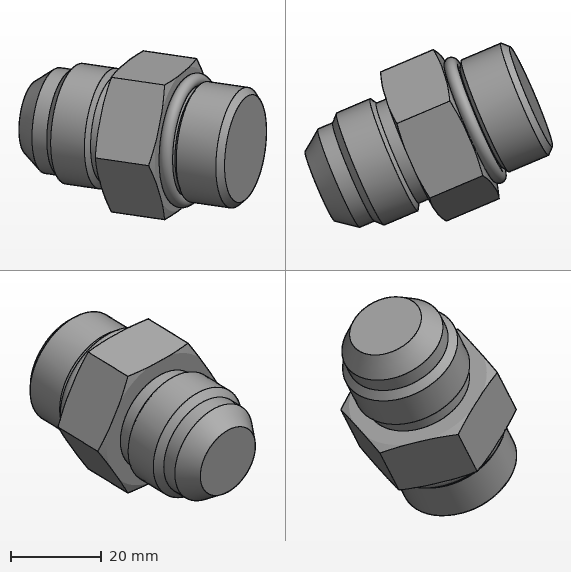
import cadquery as cq
import math


thread_diameter = 27.0
relief_diameter = 24.1
nose_diameter = 23.65
nose_tip_diameter = 16.8

nose_cone_end = 4.55
nose_end = 8.15
tube_thread_start = 9.75
tube_thread_end = 17.85
tube_relief_start = 18.7
hexagon_start = 21.85
hexagon_length = 14.0
groove_end = 38.9
port_thread_start = 39.85
port_chamfer_start = 49.35
overall_length = 50.8

across_flats = 31.75
hexagon_chamfer_diameter = 32.25
hexagon_chamfer_angle = 16.0

ring_section_diameter = 3.0

across_corners = across_flats / math.cos(math.radians(30))
hexagon_end = hexagon_start + hexagon_length
ring_center_x = hexagon_end + ring_section_diameter / 2
ring_center_radius = (relief_diameter + ring_section_diameter) / 2


def revolve_about_x(outline):
    return outline.close().revolve(360, (0, 0, 0), (1, 0, 0))


def make_turned_core():
    """Cone nose, tube thread, thread relief, O-ring groove and port thread."""
    outline = (
        cq.Workplane("XY")
        .moveTo(0, 0)
        .lineTo(0, nose_tip_diameter / 2)
        .lineTo(nose_cone_end, nose_diameter / 2)
        .lineTo(nose_end, nose_diameter / 2)
        .lineTo(tube_thread_start, thread_diameter / 2)
        .lineTo(tube_thread_end, thread_diameter / 2)
        .lineTo(tube_relief_start, relief_diameter / 2)
        .lineTo(groove_end, relief_diameter / 2)
        .lineTo(port_thread_start, thread_diameter / 2)
        .lineTo(port_chamfer_start, thread_diameter / 2)
        .lineTo(overall_length, relief_diameter / 2)
        .lineTo(overall_length, 0)
    )
    return revolve_about_x(outline)


def make_hexagon():
    """Hexagonal prism with its corners turned off conically at both ends."""
    prism = (
        cq.Workplane("YZ", origin=(hexagon_start, 0, 0))
        .polygon(6, across_corners)
        .extrude(hexagon_length)
    )
    face_radius = hexagon_chamfer_diameter / 2
    corner_radius = across_corners / 2
    chamfer_length = (corner_radius - face_radius) * math.tan(math.radians(hexagon_chamfer_angle))
    chamfer_envelope = revolve_about_x(
        cq.Workplane("XY")
        .moveTo(hexagon_start, 0)
        .lineTo(hexagon_start, face_radius)
        .lineTo(hexagon_start + chamfer_length, corner_radius)
        .lineTo(hexagon_end - chamfer_length, corner_radius)
        .lineTo(hexagon_end, face_radius)
        .lineTo(hexagon_end, 0)
    )
    return prism.intersect(chamfer_envelope)


def make_fitting():
    return make_turned_core().union(make_hexagon()).solids()


def make_o_ring():
    """Round ring resting on the groove floor, between the hexagon and the port thread."""
    return (
        cq.Workplane("XY")
        .center(ring_center_x, ring_center_radius)
        .circle(ring_section_diameter / 2)
        .revolve(360, (0, -ring_center_radius, 0), (1, -ring_center_radius, 0))
    )


fitting = make_fitting()
o_ring = make_o_ring()

result = cq.Compound.makeCompound([fitting.val(), o_ring.val()])